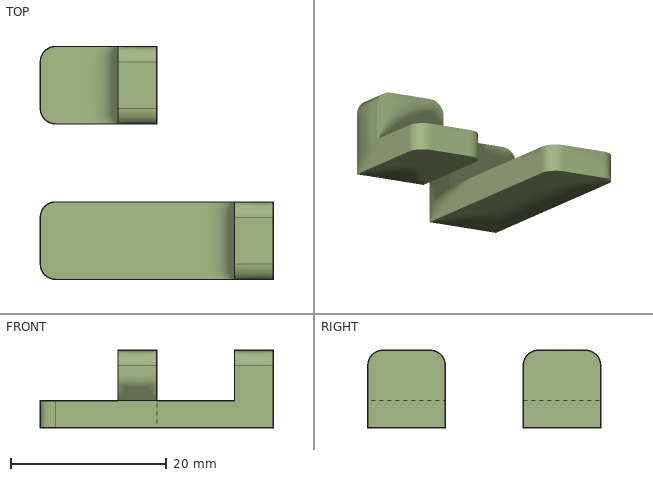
import cadquery as cq

width = 10.0
height = 10.0
base_thickness = 3.5
wall_thickness = 5.0
corner_radius = 2.0

long_length = 30.0
short_length = 15.0
gap_between_brackets = 10.0


def make_bracket(length, y_start):
    """L-shaped bracket: a flat base with a rounded free end and an upright wall at its +X end."""
    profile = (
        cq.Workplane("XZ", origin=(0, y_start, 0))
        .polyline([
            (0, 0),
            (length, 0),
            (length, height),
            (length - wall_thickness, height),
            (length - wall_thickness, base_thickness),
            (0, base_thickness),
        ])
        .close()
    )
    bracket = profile.extrude(-width)

    bracket = bracket.faces("<X").edges("|Z").fillet(corner_radius)

    return bracket.faces(">Z").edges("|X").fillet(corner_radius)


long_bracket = make_bracket(long_length, y_start=0)
short_bracket = make_bracket(short_length, y_start=width + gap_between_brackets)

result = cq.Compound.makeCompound([long_bracket.val(), short_bracket.val()])